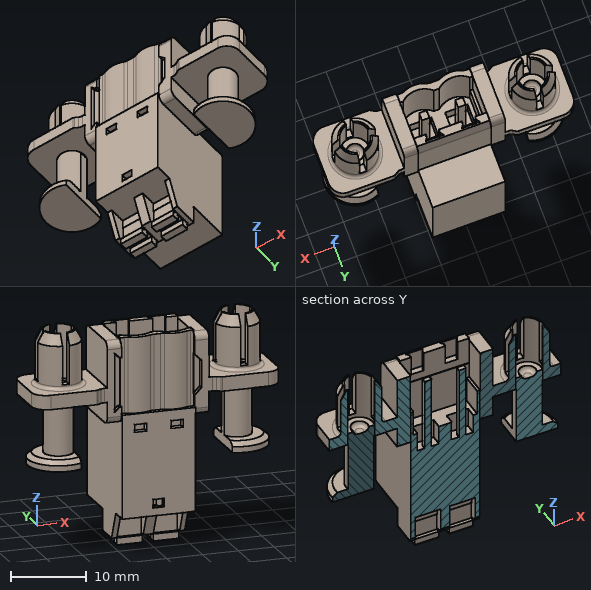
import cadquery as cq
import math


POLE_PITCH = 5.1
POLE_XS = (-POLE_PITCH / 2, POLE_PITCH / 2)

BODY_HALF_WIDTH = 5.12
BODY_WIDTH = 2 * BODY_HALF_WIDTH
BODY_FRONT_Y = -4.55
BODY_BACK_Y = 9.62
BODY_TOP_Z = -3.9
BODY_FRONT_BOTTOM_Z = -18.3
BODY_BACK_BOTTOM_Z = -19.25
FOOT_BOTTOM_Z = -22.25
FOOT_BACK_Y = 3.35
FOOT_FRONT_TOP_Y = -2.0
FOOT_FRONT_BOTTOM_Y = -0.27

SHROUD_TOP_Z = 6.6
SHROUD_FRONT_Y = -3.8
SHROUD_BACK_Y = 4.2
SHROUD_BACK_TOP_Y = 3.75
SHROUD_TAPER_HEIGHT = 1.9
BULGE_DEPTH = 0.45
BULGE_CREST_HALF_WIDTH = 1.55
BULGE_BLEND_WIDTH = 0.5

CAVITY_HALF_WIDTH = 4.7
CAVITY_LEDGE_Z = 0.0
CAVITY_BACK_Y = 2.5
CAVITY_UPPER_BACK_Y = 2.58
CAVITY_BACK_STEP_Z = 2.4
CAVITY_FRONT_Y = -2.65
CAVITY_LOBE_DEPTH = 0.82
CAVITY_MID_HALF_WIDTH = 0.38

NOTCH_BACK_Y = 3.47
NOTCH_NECK_Y = 3.02
NOTCH_BACK_WIDTH = 2.55
NOTCH_NECK_WIDTH = 1.85
NOTCH_FLOOR_Z = 3.65

CHAMBER_WIDTH = 3.15
CHAMBER_FRONT_Y = -1.95
CHAMBER_BACK_Y = 0.95
CHAMBER_FLOOR_Z = -6.87
CONTACT_SIZE = 1.05
CONTACT_Y = -0.4
CONTACT_TOP_Z = 4.57

UPPER_WINDOW_WIDTH = 1.7
UPPER_WINDOW_BOTTOM_Z = -6.45
UPPER_WINDOW_TOP_Z = -5.4
UPPER_WINDOW_DEPTH = 0.85
LOWER_WINDOW_WIDTH = 1.58
LOWER_WINDOW_BOTTOM_Z = -17.2
LOWER_WINDOW_TOP_Z = -16.05
LOWER_WINDOW_DEPTH = 0.7
LATCH_HOLLOW_WIDTH = 1.45
LATCH_HOLLOW_DEPTH = 3.1
LATCH_HOLLOW_BOTTOM_Z = -17.87

BUTTON_WIDTH = 3.55
BUTTON_FRONT_Y = -0.15
BUTTON_BACK_Y = 3.02
BUTTON_TOP_Z = -19.75
BUTTON_BOTTOM_Z = -23.33
BUTTON_LEDGE_Z = -22.35
BUTTON_LEDGE_DEPTH = 0.5
BUTTON_SLOT_FRONT_Y = 0.95
BUTTON_SLOT_BACK_Y = 1.95
POCKET_WIDTH = 3.68

FLANGE_X = 12.45
FLANGE_END_X = 17.18
PLATE_HALF_DEPTH = 4.78
PLATE_THICKNESS = 2.0
PLATE_CORNER_RADIUS = 2.03
SHOULDER_X = 8.65
SHOULDER_ANGLE = 30
SHOULDER_OUTER_RADIUS = 0.4
SHOULDER_INNER_RADIUS = 1.0
BLOCK_OUTER_X = 7.1
BLOCK_HALF_DEPTH = 4.3
BLOCK_TOP_Z = 6.32
BLOCK_BOTTOM_Z = -5.1
BLOCK_EDGE_RADIUS = 1.0
DOVETAIL_DEPTH = 0.7

COLLET_RADIUS = 3.1
COLLET_TIP_RADIUS = 2.27
COLLET_TOP_Z = 7.52
COLLET_CONE_Z = 6.0
COLLET_ROOT_RADIUS = 0.5
COLLET_SLOT_WIDTH = 0.95
COLLET_SLOT_FLOOR_Z = 0.7

PIN_RADIUS = 2.03
PIN_TOP_Z = 0.0
PIN_RECESS_RADIUS = 1.2
PIN_RECESS_FLOOR_RADIUS = 0.55
HEAD_RADIUS = 4.3
HEAD_TOP_RADIUS = 3.57
HEAD_BOTTOM_Z = -11.0
HEAD_RIM_Z = -10.15
HEAD_TOP_Z = -9.52
PIN_FLAT_OFFSET = 1.92


def block(x_range, y_range, z_range):
    """Box between the given limits on each axis."""
    lows, highs = zip(x_range, y_range, z_range)
    sizes = [high - low for low, high in zip(lows, highs)]
    return cq.Workplane("XY").box(*sizes, centered=False).translate(lows)


def centred(x, width):
    """Limits of a span of the given width about x."""
    return x - width / 2, x + width / 2



def lower_body():
    profile = [
        (BODY_FRONT_Y, BODY_TOP_Z),
        (BODY_BACK_Y, BODY_TOP_Z),
        (BODY_BACK_Y, BODY_BACK_BOTTOM_Z),
        (FOOT_BACK_Y, BODY_BACK_BOTTOM_Z),
        (FOOT_BACK_Y, FOOT_BOTTOM_Z),
        (FOOT_FRONT_BOTTOM_Y, FOOT_BOTTOM_Z),
        (FOOT_FRONT_TOP_Y, BODY_FRONT_BOTTOM_Z),
        (BODY_FRONT_Y, BODY_FRONT_BOTTOM_Z),
    ]
    return cq.Workplane("YZ").polyline(profile).close().extrude(BODY_HALF_WIDTH, both=True)


def bulged_front(outline, pole_x):
    """Continue an outline along +X over one bulge: concave blend, convex crest, concave blend."""
    half_width = BULGE_CREST_HALF_WIDTH + BULGE_BLEND_WIDTH
    slope = 2 * math.atan(BULGE_DEPTH / half_width)
    blend_radius = BULGE_BLEND_WIDTH / math.sin(slope)
    blend_drop = blend_radius * (1 - math.cos(slope))
    blend_mid_x = half_width - blend_radius * math.sin(slope / 2)
    blend_mid_y = SHROUD_FRONT_Y - blend_radius * (1 - math.cos(slope / 2))
    blend_end_y = SHROUD_FRONT_Y - blend_drop
    return (
        outline.lineTo(pole_x - half_width, SHROUD_FRONT_Y)
        .threePointArc((pole_x - blend_mid_x, blend_mid_y), (pole_x - BULGE_CREST_HALF_WIDTH, blend_end_y))
        .threePointArc((pole_x, SHROUD_FRONT_Y - BULGE_DEPTH), (pole_x + BULGE_CREST_HALF_WIDTH, blend_end_y))
        .threePointArc((pole_x + blend_mid_x, blend_mid_y), (pole_x + half_width, SHROUD_FRONT_Y))
    )


def shroud():
    outline = cq.Workplane("XY", origin=(0, 0, BODY_TOP_Z)).moveTo(-BODY_HALF_WIDTH, SHROUD_FRONT_Y)
    for pole_x in POLE_XS:
        outline = bulged_front(outline, pole_x)
    outline = (
        outline.lineTo(BODY_HALF_WIDTH, SHROUD_FRONT_Y)
        .lineTo(BODY_HALF_WIDTH, SHROUD_BACK_Y)
        .lineTo(-BODY_HALF_WIDTH, SHROUD_BACK_Y)
        .close()
    )
    back_taper = (
        cq.Workplane("YZ")
        .moveTo(SHROUD_BACK_Y, SHROUD_TOP_Z - SHROUD_TAPER_HEIGHT)
        .lineTo(SHROUD_BACK_Y, SHROUD_TOP_Z)
        .lineTo(SHROUD_BACK_TOP_Y, SHROUD_TOP_Z)
        .close()
        .extrude(BODY_HALF_WIDTH, both=True)
    )
    return outline.extrude(SHROUD_TOP_Z - BODY_TOP_Z).cut(back_taper)


def plug_cavity():
    """Space for the mating plug: lobed at the front, stepped at the back.

    Its sides are open above the ledges, where the flange blocks close them.
    """
    lobe_y = CAVITY_FRONT_Y - CAVITY_LOBE_DEPTH
    lobe_mid_x = (CAVITY_HALF_WIDTH + CAVITY_MID_HALF_WIDTH) / 2
    main = (
        cq.Workplane("XY", origin=(0, 0, BODY_TOP_Z))
        .moveTo(-CAVITY_HALF_WIDTH, CAVITY_BACK_Y)
        .lineTo(-CAVITY_HALF_WIDTH, CAVITY_FRONT_Y)
        .threePointArc((-lobe_mid_x, lobe_y), (-CAVITY_MID_HALF_WIDTH, CAVITY_FRONT_Y))
        .lineTo(CAVITY_MID_HALF_WIDTH, CAVITY_FRONT_Y)
        .threePointArc((lobe_mid_x, lobe_y), (CAVITY_HALF_WIDTH, CAVITY_FRONT_Y))
        .lineTo(CAVITY_HALF_WIDTH, CAVITY_BACK_Y)
        .close()
        .extrude(SHROUD_TOP_Z - BODY_TOP_Z)
    )
    open_sides = block(
        centred(0, BODY_WIDTH), (CAVITY_FRONT_Y, CAVITY_BACK_Y), (CAVITY_LEDGE_Z, SHROUD_TOP_Z)
    )
    back_step = block(
        centred(0, BODY_WIDTH), (CAVITY_BACK_Y, CAVITY_UPPER_BACK_Y), (CAVITY_BACK_STEP_Z, SHROUD_TOP_Z)
    )
    return main.union(open_sides).union(back_step)


def coding_notch(pole_x):
    """Undercut notch, open to the cavity and widening towards the back."""
    neck = NOTCH_NECK_WIDTH / 2
    back = NOTCH_BACK_WIDTH / 2
    outline = [
        (-neck, CAVITY_BACK_Y),
        (neck, CAVITY_BACK_Y),
        (neck, NOTCH_NECK_Y),
        (back, NOTCH_BACK_Y),
        (-back, NOTCH_BACK_Y),
        (-neck, NOTCH_NECK_Y),
    ]
    return (
        cq.Workplane("XY", origin=(pole_x, 0, NOTCH_FLOOR_Z))
        .polyline(outline)
        .close()
        .extrude(SHROUD_TOP_Z - NOTCH_FLOOR_Z)
    )


def contact_chamber(pole_x):
    return block(
        centred(pole_x, CHAMBER_WIDTH), (CHAMBER_FRONT_Y, CHAMBER_BACK_Y), (CHAMBER_FLOOR_Z, BODY_TOP_Z)
    )


def contact_pin(pole_x):
    return block(
        centred(pole_x, CONTACT_SIZE), centred(CONTACT_Y, CONTACT_SIZE), (CHAMBER_FLOOR_Z, CONTACT_TOP_Z)
    )


def upper_window(pole_x):
    return block(
        centred(pole_x, UPPER_WINDOW_WIDTH),
        (BODY_FRONT_Y, BODY_FRONT_Y + UPPER_WINDOW_DEPTH),
        (UPPER_WINDOW_BOTTOM_Z, UPPER_WINDOW_TOP_Z),
    )


def lower_window():
    """Window through the front wall into a slightly narrower and lower hollow."""
    wall_back_y = BODY_FRONT_Y + LOWER_WINDOW_DEPTH
    window = block(
        centred(0, LOWER_WINDOW_WIDTH),
        (BODY_FRONT_Y, wall_back_y),
        (LOWER_WINDOW_BOTTOM_Z, LOWER_WINDOW_TOP_Z),
    )
    hollow = block(
        centred(0, LATCH_HOLLOW_WIDTH),
        (wall_back_y, BODY_FRONT_Y + LATCH_HOLLOW_DEPTH),
        (LATCH_HOLLOW_BOTTOM_Z, LOWER_WINDOW_TOP_Z),
    )
    return window.union(hollow)


def button_pocket(pole_x):
    """Pocket for a release button, with a shallow recess above it in the sloping foot."""
    width = centred(pole_x, POCKET_WIDTH)
    seat = block(width, (FOOT_FRONT_TOP_Y, BUTTON_BACK_Y), (FOOT_BOTTOM_Z, BUTTON_TOP_Z))
    recess_back_y = BUTTON_FRONT_Y + BUTTON_LEDGE_DEPTH
    recess = block(width, (FOOT_FRONT_TOP_Y, recess_back_y), (BUTTON_TOP_Z, BODY_FRONT_BOTTOM_Z))
    return seat.union(recess)


def make_housing():
    housing = lower_body().union(shroud()).cut(plug_cavity()).cut(lower_window())
    for pole_x in POLE_XS:
        housing = housing.cut(coding_notch(pole_x)).cut(contact_chamber(pole_x))
        housing = housing.cut(upper_window(pole_x)).cut(button_pocket(pole_x))
        housing = housing.union(contact_pin(pole_x))
    return housing



def make_button(pole_x):
    """Block with a step along its front and a screwdriver slot across its lower end."""
    width = centred(pole_x, BUTTON_WIDTH)
    body = block(
        width, (BUTTON_FRONT_Y + BUTTON_LEDGE_DEPTH, BUTTON_BACK_Y), (BUTTON_LEDGE_Z, BUTTON_TOP_Z)
    )
    foot = block(width, (BUTTON_FRONT_Y, BUTTON_BACK_Y), (BUTTON_BOTTOM_Z, BUTTON_LEDGE_Z))
    slot = block(width, (BUTTON_SLOT_FRONT_Y, BUTTON_SLOT_BACK_Y), (BUTTON_BOTTOM_Z, BUTTON_LEDGE_Z))
    return body.union(foot).cut(slot)



def flange_plate():
    shoulder_run = (PLATE_HALF_DEPTH - BLOCK_HALF_DEPTH) / math.tan(math.radians(SHOULDER_ANGLE))
    neck_x = SHOULDER_X - shoulder_run
    back_edge = [
        (BLOCK_OUTER_X, BLOCK_HALF_DEPTH),
        (neck_x, BLOCK_HALF_DEPTH),
        (SHOULDER_X, PLATE_HALF_DEPTH),
        (FLANGE_END_X, PLATE_HALF_DEPTH),
    ]
    front_edge = [(x, -y) for x, y in reversed(back_edge)]
    plate = (
        cq.Workplane("XY", origin=(0, 0, -PLATE_THICKNESS))
        .polyline(back_edge + front_edge)
        .close()
        .extrude(PLATE_THICKNESS)
    )
    corner_radii = (
        (FLANGE_END_X, PLATE_CORNER_RADIUS),
        (SHOULDER_X, SHOULDER_OUTER_RADIUS),
        (neck_x, SHOULDER_INNER_RADIUS),
    )
    search_half_width = 0.05
    for x, radius in corner_radii:
        corner = cq.selectors.BoxSelector(
            (x - search_half_width, -FLANGE_END_X, -PLATE_THICKNESS),
            (x + search_half_width, FLANGE_END_X, 0),
        )
        plate = plate.edges("|Z").edges(corner).fillet(radius)
    return plate


def flange_block():
    return block(
        (BODY_HALF_WIDTH, BLOCK_OUTER_X), centred(0, 2 * BLOCK_HALF_DEPTH), (BLOCK_BOTTOM_Z, BLOCK_TOP_Z)
    ).edges("|X").fillet(BLOCK_EDGE_RADIUS)


def collet():
    """Tapered sleeve with a flared root, revolved about the flange axis."""
    root_mid = COLLET_ROOT_RADIUS * (1 - math.sqrt(0.5))
    return (
        cq.Workplane("XZ")
        .moveTo(0, 0)
        .lineTo(COLLET_RADIUS + COLLET_ROOT_RADIUS, 0)
        .threePointArc((COLLET_RADIUS + root_mid, root_mid), (COLLET_RADIUS, COLLET_ROOT_RADIUS))
        .lineTo(COLLET_RADIUS, COLLET_CONE_Z)
        .lineTo(COLLET_TIP_RADIUS, COLLET_TOP_Z)
        .lineTo(0, COLLET_TOP_Z)
        .close()
        .revolve(360, (0, 0, 0), (0, 1, 0))
        .translate((FLANGE_X, 0, 0))
    )


def collet_cuts():
    """Pin bore through plate and collet, and the crossed slots that split the collet."""
    bore = (
        cq.Workplane("XY", origin=(FLANGE_X, 0, -PLATE_THICKNESS))
        .circle(PIN_RADIUS)
        .extrude(PLATE_THICKNESS + COLLET_TOP_Z)
    )
    cross = (
        cq.Workplane("XY", origin=(FLANGE_X, 0, COLLET_SLOT_FLOOR_Z))
        .rect(2 * COLLET_RADIUS, COLLET_SLOT_WIDTH)
        .extrude(COLLET_TOP_Z - COLLET_SLOT_FLOOR_Z)
    )
    return bore.union(cross).union(cross.rotate((FLANGE_X, 0, 0), (FLANGE_X, 0, 1), 90))


def dovetail_recess(outline):
    """Recess of the given XZ outline in the front face of a flange block."""
    front_face = cq.Workplane("XZ", origin=(0, -BLOCK_HALF_DEPTH, 0))
    return front_face.polyline(outline).close().extrude(-DOVETAIL_DEPTH)


RIGHT_DOVETAIL = [
    (BODY_HALF_WIDTH, -2.25),
    (6.05, -1.3),
    (6.05, 2.45),
    (BODY_HALF_WIDTH, 3.35),
]
LEFT_DOVETAIL = [
    (-BODY_HALF_WIDTH, -2.82),
    (-5.43, -2.82),
    (-6.08, -3.47),
    (-6.08, 4.67),
    (-5.43, 4.02),
    (-BODY_HALF_WIDTH, 4.02),
]


def make_flange():
    return flange_plate().union(flange_block()).union(collet()).cut(collet_cuts())



def make_pin():
    """Stem with a bowl in its tip and a chamfered head, cut flat on the side facing the housing."""
    bowl_radius = PIN_RECESS_RADIUS - PIN_RECESS_FLOOR_RADIUS
    bowl_mid = bowl_radius * math.sqrt(0.5)
    pin = (
        cq.Workplane("XZ")
        .moveTo(0, HEAD_BOTTOM_Z)
        .lineTo(HEAD_RADIUS, HEAD_BOTTOM_Z)
        .lineTo(HEAD_RADIUS, HEAD_RIM_Z)
        .lineTo(HEAD_TOP_RADIUS, HEAD_TOP_Z)
        .lineTo(PIN_RADIUS, HEAD_TOP_Z)
        .lineTo(PIN_RADIUS, PIN_TOP_Z)
        .lineTo(PIN_RECESS_RADIUS, PIN_TOP_Z)
        .threePointArc(
            (PIN_RECESS_FLOOR_RADIUS + bowl_mid, PIN_TOP_Z - bowl_mid),
            (PIN_RECESS_FLOOR_RADIUS, PIN_TOP_Z - bowl_radius),
        )
        .lineTo(0, PIN_TOP_Z - bowl_radius)
        .close()
        .revolve(360, (0, 0, 0), (0, 1, 0))
    )
    flat = block(
        (-HEAD_RADIUS, -PIN_FLAT_OFFSET), centred(0, 2 * HEAD_RADIUS), (HEAD_BOTTOM_Z, -PLATE_THICKNESS)
    )
    return pin.cut(flat).translate((FLANGE_X, 0, 0))


housing = make_housing()
buttons = [make_button(pole_x) for pole_x in POLE_XS]
flange = make_flange()
right_flange = flange.cut(dovetail_recess(RIGHT_DOVETAIL))
left_flange = flange.mirror("YZ").cut(dovetail_recess(LEFT_DOVETAIL))
right_pin = make_pin()
left_pin = right_pin.mirror("YZ")

bodies = [housing, *buttons, left_flange, right_flange, left_pin, right_pin]
result = cq.Compound.makeCompound([body.solids().val() for body in bodies])